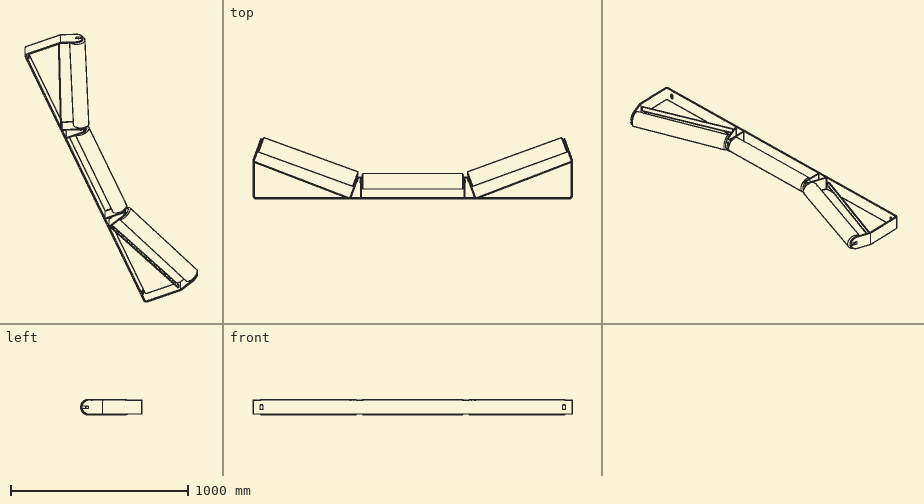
import cadquery as cq
import math

FRAME_LENGTH = 1800.0
FRAME_WIDTH = 80.0
PLATE = 8.0
BEND_RADIUS = 15.0
TROUGH_ANGLE = 20.0
ARM_BEND_HEIGHT = 221.0
ARM_LENGTH = 126.0
MOUNT_HOLE_WIDTH = 16.0
MOUNT_HOLE_LENGTH = 29.0
MOUNT_HOLE_INSET = 47.0

ROLLER_DIAMETER = 88.0
ROLLER_LENGTH = 575.0
BEVEL_LENGTH = 5.0
BEVEL_DEPTH = 10.0
SHAFT_DIAMETER = 16.0
END_GAP = 2.0
CENTRE_ROLLER_HEIGHT = 99.0
OUTER_AXIS_HEIGHT = 310.0

BRACKET_PLATE = 6.0
BRACKET_HEIGHT = 125.0
STRUT_WIDTH = 29.0
STRUT_THICKNESS = 5.0
STRUT_TOP_HEIGHT = 210.0
STRUT_ANGLE = 21.0

COS = math.cos(math.radians(TROUGH_ANGLE))
SIN = math.sin(math.radians(TROUGH_ANGLE))
TAN = SIN / COS
HALF_LENGTH = FRAME_LENGTH / 2
SEAT_OFFSET = ROLLER_LENGTH / 2 + END_GAP
HALF_SHAFT = SEAT_OFFSET + PLATE

OUTER_SHAFT_X = -HALF_LENGTH + (OUTER_AXIS_HEIGHT - ARM_BEND_HEIGHT) * TAN
SIDE_ROLLER_X = OUTER_SHAFT_X + HALF_SHAFT * COS
SIDE_ROLLER_Y = OUTER_AXIS_HEIGHT - HALF_SHAFT * SIN
INNER_SHAFT_X = SIDE_ROLLER_X + SEAT_OFFSET * COS
INNER_SHAFT_Y = SIDE_ROLLER_Y - SEAT_OFFSET * SIN


def mirrored(body):
    return body.mirror("YZ")


def extruded_outline(points, width):
    """Closed XY outline extruded symmetrically about Z = 0."""
    return cq.Workplane("XY").polyline(points).close().extrude(width / 2, both=True)


def shaft_slot(x, y, angle, thickness):
    """Cutter for a round-bottomed slot through a plate square to the roller axis.

    (x, y) is where the axis crosses one face of the plate; the slot opens away from the base.
    """
    reach = ROLLER_DIAMETER
    seat = cq.Workplane("YZ").circle(SHAFT_DIAMETER / 2).extrude(thickness, both=True)
    opening = cq.Workplane("XY").box(2 * thickness, reach, SHAFT_DIAMETER).translate((0, reach / 2, 0))
    return seat.union(opening).rotate((0, 0, 0), (0, 0, 1), angle).translate((x, y, 0))


def bent_block(length, bottom, radius):
    """Block from the given height up to the arm bends, with its two lower corners rounded."""
    height = ARM_BEND_HEIGHT - bottom
    block = cq.Workplane("XY").box(length, height, FRAME_WIDTH)
    return block.translate((0, bottom + height / 2, 0)).edges("|Z and <Y").fillet(radius)


def make_left_arm():
    """Round-ended arm, drawn flat upwards from its bend line and then tilted inwards."""
    radius = FRAME_WIDTH / 2
    straight = ARM_LENGTH - radius
    arm = (
        cq.Workplane("YZ")
        .moveTo(0, -radius)
        .lineTo(straight, -radius)
        .threePointArc((ARM_LENGTH, 0), (straight, radius))
        .lineTo(0, radius)
        .close()
        .extrude(PLATE)
        .rotate((0, 0, 0), (0, 0, 1), -TROUGH_ANGLE)
        .translate((-HALF_LENGTH, ARM_BEND_HEIGHT, 0))
    )
    return arm.cut(shaft_slot(OUTER_SHAFT_X, OUTER_AXIS_HEIGHT, -TROUGH_ANGLE, PLATE * 2))


def make_frame():
    outside = bent_block(FRAME_LENGTH, 0, BEND_RADIUS)
    inside = bent_block(FRAME_LENGTH - 2 * PLATE, PLATE, BEND_RADIUS - PLATE)
    arm = make_left_arm()
    hole_x = HALF_LENGTH - MOUNT_HOLE_INSET
    holes = (
        cq.Workplane("XZ")
        .pushPoints([(-hole_x, 0), (hole_x, 0)])
        .slot2D(MOUNT_HOLE_LENGTH, MOUNT_HOLE_WIDTH, 90)
        .extrude(-PLATE)
    )
    return outside.cut(inside).union(arm).union(mirrored(arm)).cut(holes)


def make_left_bracket():
    def slope_x(height):
        """X of the sloping leg's roller-side face at a height."""
        return INNER_SHAFT_X + (height - INNER_SHAFT_Y) * TAN

    upright_x = -SEAT_OFFSET
    under_top = BRACKET_HEIGHT - BRACKET_PLATE
    slope_thickness = BRACKET_PLATE / COS
    outline = [
        (upright_x, PLATE),
        (upright_x, BRACKET_HEIGHT),
        (slope_x(BRACKET_HEIGHT), BRACKET_HEIGHT),
        (slope_x(PLATE), PLATE),
        (slope_x(PLATE) + slope_thickness, PLATE),
        (slope_x(under_top) + slope_thickness, under_top),
        (upright_x - BRACKET_PLATE, under_top),
        (upright_x - BRACKET_PLATE, PLATE),
    ]
    bracket = extruded_outline(outline, FRAME_WIDTH)
    bracket = bracket.cut(shaft_slot(INNER_SHAFT_X, INNER_SHAFT_Y, -TROUGH_ANGLE, PLATE))
    return bracket.cut(shaft_slot(upright_x, CENTRE_ROLLER_HEIGHT, 0, PLATE))


def make_left_strut():
    slope = math.tan(math.radians(STRUT_ANGLE))
    left = -HALF_LENGTH + PLATE
    drop = STRUT_THICKNESS / math.cos(math.radians(STRUT_ANGLE))
    rise = STRUT_TOP_HEIGHT - PLATE
    outline = [
        (left, STRUT_TOP_HEIGHT),
        (left + rise / slope, PLATE),
        (left + (rise - drop) / slope, PLATE),
        (left, STRUT_TOP_HEIGHT - drop),
    ]
    return extruded_outline(outline, STRUT_WIDTH)


def make_roller(x, y, angle):
    radius = ROLLER_DIAMETER / 2
    half_drum = ROLLER_LENGTH / 2
    half_rim = half_drum - BEVEL_LENGTH
    shaft_radius = SHAFT_DIAMETER / 2
    profile = [
        (-HALF_SHAFT, 0),
        (-HALF_SHAFT, shaft_radius),
        (-half_drum, shaft_radius),
        (-half_drum, radius - BEVEL_DEPTH),
        (-half_rim, radius),
        (half_rim, radius),
        (half_drum, radius - BEVEL_DEPTH),
        (half_drum, shaft_radius),
        (HALF_SHAFT, shaft_radius),
        (HALF_SHAFT, 0),
    ]
    roller = cq.Workplane("XZ").polyline(profile).close().revolve(360, (0, 0, 0), (1, 0, 0))
    return roller.rotate((0, 0, 0), (0, 0, 1), angle).translate((x, y, 0))


frame = make_frame()
left_parts = [make_left_bracket(), make_left_strut()]
right_parts = [mirrored(part) for part in left_parts]
roller_places = [
    (SIDE_ROLLER_X, SIDE_ROLLER_Y, -TROUGH_ANGLE),
    (0, CENTRE_ROLLER_HEIGHT, 0),
    (-SIDE_ROLLER_X, SIDE_ROLLER_Y, TROUGH_ANGLE),
]
rollers = [make_roller(*place) for place in roller_places]

result = cq.Compound.makeCompound([body.val() for body in [frame, *left_parts, *right_parts, *rollers]])